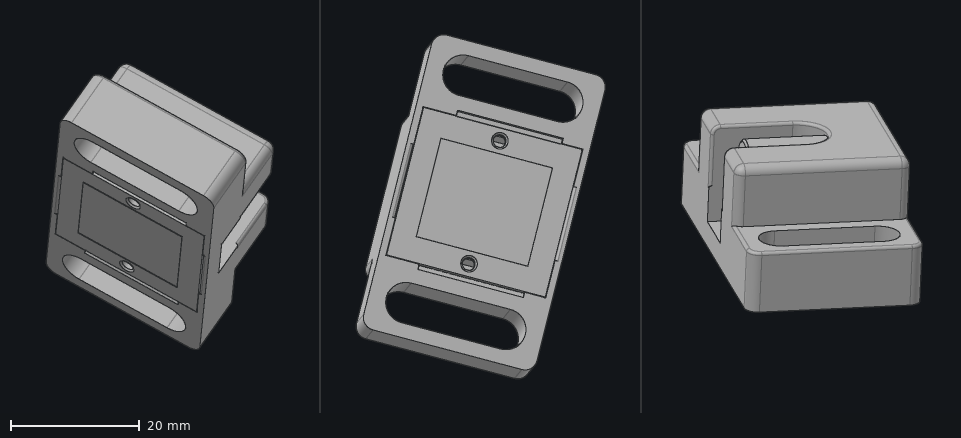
import cadquery as cq

flange_width = 28.0
flange_height = 48.0
flange_depth = 10.0
flange_corner_radius = 2.0
flange_edge_radius = 0.5

block_height = 26.0
block_depth = 20.0
block_edge_radius = 1.5

mount_slot_offset = 18.5
mount_slot_length = 22.4
mount_slot_width = 6.4

cable_slot_width = 9.0
cable_slot_center_x = 1.0
cable_slot_floor = 4.0
cable_slot_edge_radius = 0.5

plug_diameter = 8.0
plug_axis_depth = 15.1
plug_end_x = 9.8
plug_start_x = -5.0
plug_chamfer = 0.35

pocket_width = 25.8
pocket_height = 24.2
pocket_depth = 1.5
cover_gap = 0.1
cover_width = pocket_width - 2 * cover_gap
cover_height = pocket_height - 2 * cover_gap

end_relief_length = 17.0
end_relief_center_x = 1.0
end_relief_reach = 12.95
end_relief_depth = 1.1
side_relief_length = 12.0
side_relief_radius = 0.45

window_width = 18.0
window_height = 16.0
window_recess = 0.1
window_thickness = 0.7

screw_offset = 10.0
screw_diameter = 2.0
screw_top = 1.2
screw_end = 6.0
screw_groove_width = 1.6
screw_groove_depth = 0.8
hole_chamfer = 0.3

roll = 14.65
pitch = 11.81
yaw = -4.88


def block(width, height, front, back, center_x=0.0, center_z=0.0):
    """Box given by its face size and the two depths that it spans."""
    return (
        cq.Workplane("XY")
        .box(width, back - front, height)
        .translate((center_x, (front + back) / 2, center_z))
    )


def rod(diameter, front, back, center_z):
    """Cylinder along Y on the centre line of the face."""
    plane = cq.Workplane("XZ", origin=(0, front, center_z))
    return plane.circle(diameter / 2).extrude(front - back)


def raised_block():
    body = block(flange_width, block_height, 0, block_depth)
    body = body.edges("|Y").fillet(block_edge_radius)
    body = body.faces(">Y").edges().fillet(block_edge_radius)
    body = body.cut(cable_slot())
    return body.edges(cable_slot_rim()).fillet(cable_slot_edge_radius)


def flange():
    body = block(flange_width, flange_height, 0, flange_depth)
    body = body.edges("|Y").fillet(flange_corner_radius)
    body = body.faces(">Y").edges().fillet(flange_edge_radius)
    for side in (-1, 1):
        slot = (
            cq.Workplane("XZ", origin=(0, 0, side * mount_slot_offset))
            .slot2D(mount_slot_length, mount_slot_width)
            .extrude(-flange_depth)
        )
        body = body.cut(slot)
    return body


def cable_slot():
    radius = cable_slot_width / 2
    run = flange_width / 2 - cable_slot_center_x
    depth = block_depth - cable_slot_floor
    round_end = (
        cq.Workplane("XZ", origin=(cable_slot_center_x, cable_slot_floor, 0))
        .circle(radius)
        .extrude(-depth)
    )
    open_run = block(run, cable_slot_width, cable_slot_floor, block_depth, cable_slot_center_x + run / 2)
    return round_end.union(open_run)


def cable_slot_rim():
    """Selects the edges along the mouth of the slot, clear of its floor."""
    margin = cable_slot_edge_radius / 2
    reach = cable_slot_width / 2 + margin
    return cq.selectors.BoxSelector(
        (cable_slot_center_x - reach, block_depth - block_edge_radius, -reach),
        (flange_width / 2 + margin, block_depth + margin, reach),
    )


def plug_blank():
    plane = cq.Workplane("YZ", origin=(plug_start_x, plug_axis_depth, 0))
    return plane.circle(plug_diameter / 2).extrude(plug_end_x - plug_start_x)


def top_relief():
    """Flat-bottomed notch at the upper end of the pocket."""
    start = pocket_height / 2
    size = end_relief_reach - start
    return block(end_relief_length, size, 0, end_relief_depth, end_relief_center_x, start + size / 2)


def bottom_relief():
    """45-degree bevel at the lower end of the pocket."""
    start = -pocket_height / 2
    size = end_relief_reach + start
    plane = cq.Workplane("YZ", origin=(end_relief_center_x - end_relief_length / 2, 0, 0))
    return plane.polyline([(0, start), (0, start - size), (size, start)]).close().extrude(end_relief_length)


def side_relief(side):
    """Cut that rounds off the pocket's rim at one side."""
    wall = side * pocket_width / 2
    edge = wall + side * side_relief_radius
    waste = block(
        side_relief_radius, side_relief_length, 0, side_relief_radius, wall + side * side_relief_radius / 2
    )
    kept_round = (
        cq.Workplane("XY", origin=(edge, side_relief_radius, -side_relief_length / 2))
        .circle(side_relief_radius)
        .extrude(side_relief_length)
    )
    return waste.cut(kept_round)


def make_housing():
    body = flange().cut(cable_slot()).union(raised_block())
    body = body.cut(plug_blank())
    body = body.cut(block(pocket_width, pocket_height, 0, pocket_depth))
    body = body.cut(top_relief()).cut(bottom_relief())
    for side in (-1, 1):
        body = body.cut(side_relief(side))
        body = body.cut(rod(screw_diameter, pocket_depth, screw_end, side * screw_offset))
    return body


def make_plug():
    return plug_blank().faces(">X").chamfer(plug_chamfer)


def make_cover():
    body = block(cover_width, cover_height, 0, pocket_depth)
    body = body.cut(block(window_width, window_height, 0, window_recess + window_thickness))
    for side in (-1, 1):
        center_z = side * screw_offset
        body = body.cut(rod(screw_diameter, 0, pocket_depth, center_z))
        mouth = cq.Solid.makeCone(
            screw_diameter / 2 + hole_chamfer,
            screw_diameter / 2,
            hole_chamfer,
            cq.Vector(0, 0, center_z),
            cq.Vector(0, 1, 0),
        )
        body = body.cut(cq.Workplane(mouth))
    return body


def make_window():
    return block(window_width, window_height, window_recess, window_recess + window_thickness)


def make_screw(side):
    """Headless screw with a V-shaped driver groove across its top."""
    center_z = side * screw_offset
    half_width = screw_groove_width / 2
    groove = (
        cq.Workplane("YZ", origin=(-screw_diameter / 2, screw_top, center_z))
        .polyline([(0, -half_width), (0, half_width), (screw_groove_depth, 0)])
        .close()
        .extrude(screw_diameter)
    )
    return rod(screw_diameter, screw_top, screw_end, center_z).cut(groove)


def tilt(body):
    origin = (0, 0, 0)
    body = body.rotate(origin, (1, 0, 0), roll)
    body = body.rotate(origin, (0, 1, 0), pitch)
    return body.rotate(origin, (0, 0, 1), yaw)


housing = tilt(make_housing())
cover = tilt(make_cover())
plug = tilt(make_plug())
window = tilt(make_window())
screws = [tilt(make_screw(side)) for side in (-1, 1)]

result = cq.Compound.makeCompound(
    [
        housing.val(),
        cover.val(),
        window.val(),
        plug.val(),
        *[screw.val() for screw in screws],
    ]
)